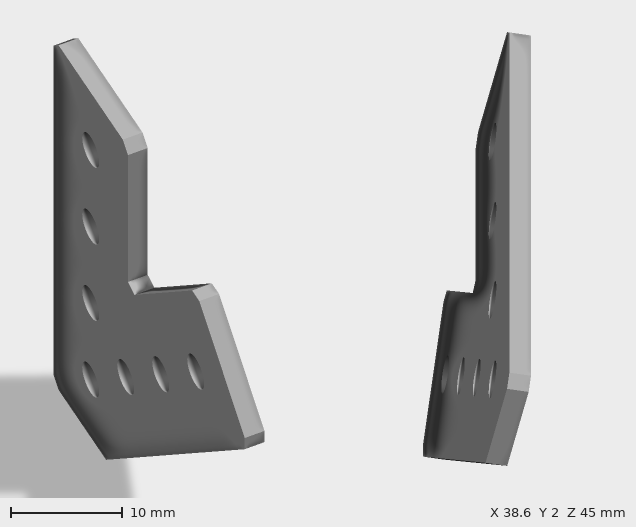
import cadquery as cq
import math

height = 45.0
thickness = 2.0
hole_pitch = 10.0
hole_diameter = 3.4
corner_chamfer = 1.05
notch_arm_setback = 1.9
notch_upright_setback = 1.75
arm_angle = 45.0
upright_hole_count = 4
arm_hole_count = 3

margin = (height - (upright_hole_count - 1) * hole_pitch) / 2
arm_width = 2 * margin
arm_length = arm_hole_count * hole_pitch + margin

cos_arm = math.cos(math.radians(arm_angle))
sin_arm = math.sin(math.radians(arm_angle))


def arm_point(along, across):
    """XZ point in the slanted arm's frame, measured from the shared hole."""
    x = margin + along * cos_arm - across * sin_arm
    z = margin + along * sin_arm + across * cos_arm
    return (x, z)


heel_x = margin + (margin / cos_arm - margin) / math.tan(math.radians(arm_angle))

inner_along = (margin + margin * sin_arm) / cos_arm
notch_x, notch_z = arm_point(inner_along, margin)

outline = [
    (corner_chamfer, 0),
    (heel_x, 0),
    arm_point(arm_length - corner_chamfer, -margin),
    arm_point(arm_length, -margin + corner_chamfer),
    arm_point(arm_length, margin - corner_chamfer),
    arm_point(arm_length - corner_chamfer, margin),
    arm_point(inner_along + notch_arm_setback, margin),
    (notch_x, notch_z + notch_upright_setback),
    (arm_width, height - corner_chamfer),
    (arm_width - corner_chamfer, height),
    (corner_chamfer, height),
    (0, height - corner_chamfer),
    (0, corner_chamfer),
]

upright_holes = [(margin, margin + i * hole_pitch) for i in range(upright_hole_count)]
arm_holes = [arm_point(i * hole_pitch, 0) for i in range(1, arm_hole_count + 1)]

plate = cq.Workplane("XZ").polyline(outline).close().extrude(thickness)
holes = (
    cq.Workplane("XZ")
    .pushPoints(upright_holes + arm_holes)
    .circle(hole_diameter / 2)
    .extrude(thickness)
)
result = plate.cut(holes)